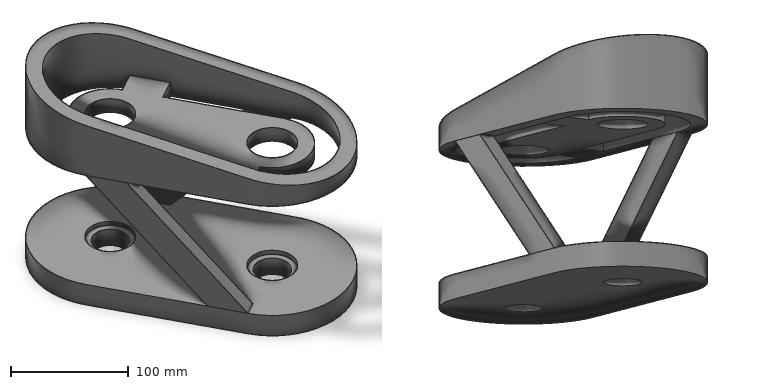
import cadquery as cq
import math

length = 287.8
width = 144.0
end_center_x = (length - width) / 2

base_height = 21.5
hole_diameter = 32.5
recess_diameter = 43.2
recess_depth = 4.3

strut_height = 115.0
strut_length_x = 36.0

wall = 14.5
ring_bottom = base_height + strut_height
total_height = 202.0
slope_angle = 10.0
low_end_height = total_height - length * math.tan(math.radians(slope_angle))
inner_length = length - 2 * wall
inner_width = width - 2 * wall

tray_length = 215.8
tray_width = 72.0
tray_thickness = 14.5
tray_hole_diameter = recess_diameter
tab_length = strut_length_x
tab_center_x = end_center_x - tab_length / 2

hole_centers = [(-end_center_x, 0), (end_center_x, 0)]


def stadium(outer_length, outer_width, bottom, height):
    """Upright round-ended block centred on the Z axis."""
    return (
        cq.Workplane("XY")
        .workplane(offset=bottom)
        .slot2D(outer_length, outer_width)
        .extrude(height)
    )


def make_base():
    """Round-ended plate with two counterbored through holes."""
    return (
        stadium(length, width, 0, base_height)
        .faces(">Z")
        .workplane(origin=(0, 0, base_height))
        .pushPoints(hole_centers)
        .cboreHole(hole_diameter, recess_diameter, recess_depth)
    )


def make_strut(side):
    """Slanted strut at the -Y (side = -1) or +Y (side = 1) edge."""
    outer_bottom = -side * end_center_x
    inner_bottom = outer_bottom + side * strut_length_x
    outer_top = -outer_bottom
    inner_top = outer_top - side * strut_length_x
    center_y = side * (width - wall) / 2
    return (
        cq.Workplane("XZ", origin=(0, center_y, 0))
        .moveTo(outer_bottom, base_height)
        .lineTo(inner_bottom, base_height)
        .lineTo(outer_top, ring_bottom)
        .lineTo(inner_top, ring_bottom)
        .close()
        .extrude(wall / 2, both=True)
    )


def make_ring():
    """Round-ended wall whose top slopes down towards +X."""
    ring_height = total_height - ring_bottom
    ring = stadium(length, width, ring_bottom, ring_height)
    opening = stadium(inner_length, inner_width, ring_bottom, ring_height)
    above_slope = (
        cq.Workplane("XZ")
        .moveTo(-length / 2, total_height)
        .lineTo(length / 2, total_height)
        .lineTo(length / 2, low_end_height)
        .close()
        .extrude(width, both=True)
    )
    return ring.cut(opening).cut(above_slope)


def make_tray():
    """Round-ended plate with two holes and two tabs that meet the ring."""
    tray = stadium(tray_length, tray_width, ring_bottom, tray_thickness)
    for side in (-1, 1):
        tab = (
            cq.Workplane("XY", origin=(-side * tab_center_x, side * inner_width / 4, ring_bottom))
            .rect(tab_length, inner_width / 2)
            .extrude(tray_thickness)
        )
        tray = tray.union(tab)
    holes = (
        cq.Workplane("XY", origin=(0, 0, ring_bottom))
        .pushPoints(hole_centers)
        .circle(tray_hole_diameter / 2)
        .extrude(tray_thickness)
    )
    return tray.cut(holes)


base = make_base()
struts = [make_strut(side) for side in (-1, 1)]
ring = make_ring()
tray = make_tray()

result = cq.Compound.makeCompound(
    [base.val(), *[strut.val() for strut in struts], ring.val(), tray.val()]
)